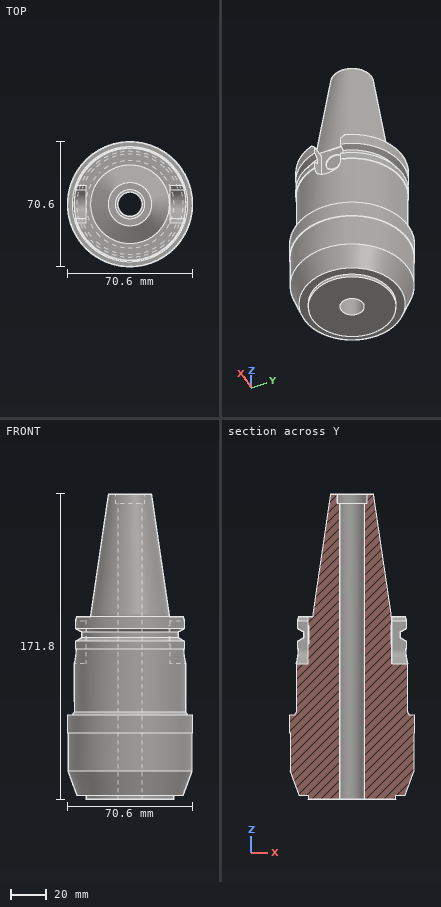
import cadquery as cq

total_height = 171.8
nose_top = 2.0
cone_top = 15.8
collar_bottom = 37.3
collar_top = 47.6
body_bottom = 49.1
flange_bottom = 84.7
groove_bottom = 89.0
groove_floor_bottom = 91.0
groove_floor_top = 94.2
groove_top = 96.0
flange_top = 103.0
taper_bottom = 104.0

nose_radius = 24.7
cone_bottom_radius = 29.9
nut_radius = 70.0 / 2
collar_radius = 70.6 / 2
body_foot_radius = 32.5
body_radius = 31.5
flange_radius = 31.8
groove_radius = 28.4
taper_bottom_radius = 22.2
taper_top_radius = 12.2

bore_radius = 13.5 / 2
counterbore_radius = 8.2
counterbore_depth = 5.2

slot_width = 16.2
slot_depth = 26.5
slot_chamfer = 2.4
left_floor_distance = 25.0
right_floor_distance = 22.5
slot_hole_radius = 5.2
slot_hole_drop = 10.3
slot_hole_depth = 0.5


def turned_body():
    """Nut, body, grooved flange and taper as one revolved outline."""
    outline = [
        (0, 0),
        (nose_radius, 0),
        (nose_radius, nose_top),
        (cone_bottom_radius, nose_top),
        (nut_radius, cone_top),
        (nut_radius, collar_bottom),
        (collar_radius, collar_bottom),
        (collar_radius, collar_top),
        (body_foot_radius, collar_top),
        (body_radius, body_bottom),
        (body_radius, flange_bottom),
        (flange_radius, flange_bottom),
        (flange_radius, groove_bottom),
        (groove_radius, groove_floor_bottom),
        (groove_radius, groove_floor_top),
        (flange_radius, groove_top),
        (flange_radius, flange_top),
        (taper_bottom_radius, flange_top),
        (taper_bottom_radius, taper_bottom),
        (taper_top_radius, total_height),
        (0, total_height),
    ]
    return cq.Workplane("XZ").polyline(outline).close().revolve(360, (0, 0), (0, 1))


def axial_bore():
    """Through bore with a wider counterbore at the small end of the taper."""
    bore = cq.Workplane("XY").circle(bore_radius).extrude(total_height)
    counterbore = (
        cq.Workplane("XY", origin=(0, 0, total_height - counterbore_depth))
        .circle(counterbore_radius)
        .extrude(counterbore_depth)
    )
    return bore.union(counterbore)


def drive_slot(side, floor_distance):
    """Round-ended slot with chamfered mouth; side is -1 for -X and +1 for +X."""
    half_width = slot_width / 2
    mouth_half_width = half_width + slot_chamfer
    slot_bottom = flange_top - slot_depth
    arc_center = slot_bottom + half_width
    chamfer_bottom = flange_top - slot_chamfer
    slot = (
        cq.Workplane("YZ", origin=(side * floor_distance, 0, 0))
        .moveTo(-half_width, arc_center)
        .threePointArc((0, slot_bottom), (half_width, arc_center))
        .lineTo(half_width, chamfer_bottom)
        .lineTo(mouth_half_width, flange_top)
        .lineTo(-mouth_half_width, flange_top)
        .lineTo(-half_width, chamfer_bottom)
        .close()
        .extrude(side * (collar_radius - floor_distance))
    )
    hole = (
        cq.Workplane("YZ", origin=(side * floor_distance, 0, 0))
        .center(0, flange_top - slot_hole_drop)
        .circle(slot_hole_radius)
        .extrude(-side * slot_hole_depth)
    )
    return slot.union(hole)


result = turned_body().cut(axial_bore())
for side, floor_distance in ((-1, left_floor_distance), (1, right_floor_distance)):
    result = result.cut(drive_slot(side, floor_distance))